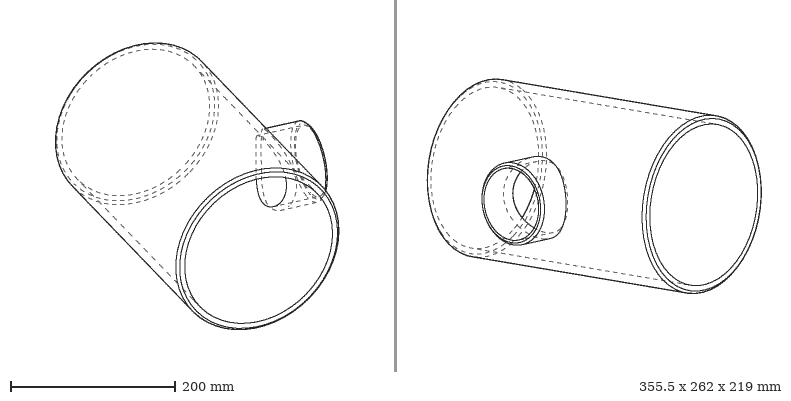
import cadquery as cq

run_length = 355.5
run_diameter = 219.0
run_wall = 10.3
run_land = 6.8
bevel_length = 3.5

branch_reach = 152.5
branch_diameter = 101.7
branch_wall = 6.5
branch_land = 3.2

run_radius = run_diameter / 2
branch_radius = branch_diameter / 2
run_bore = run_radius - run_wall
branch_bore = branch_radius - branch_wall


def make_run():
    """Solid main cylinder with a weld bevel at both ends."""
    half_length = run_length / 2
    end_radius = run_bore + run_land
    profile = [
        (-half_length, 0),
        (-half_length, end_radius),
        (-half_length + bevel_length, run_radius),
        (half_length - bevel_length, run_radius),
        (half_length, end_radius),
        (half_length, 0),
    ]
    return cq.Workplane("XY").polyline(profile).close().revolve(360, (0, 0, 0), (1, 0, 0))


def make_branch():
    """Solid branch cylinder from the pipe axis, bevelled at its open end."""
    profile = [
        (0, 0),
        (branch_radius, 0),
        (branch_radius, branch_reach - bevel_length),
        (branch_bore + branch_land, branch_reach),
        (0, branch_reach),
    ]
    return cq.Workplane("XY").polyline(profile).close().revolve(360, (0, 0, 0), (0, 1, 0))


run_hole = cq.Workplane("YZ").circle(run_bore).extrude(run_length / 2, both=True)
branch_hole = cq.Workplane("XZ").circle(branch_bore).extrude(-branch_reach)

result = make_run().union(make_branch()).cut(run_hole).cut(branch_hole)